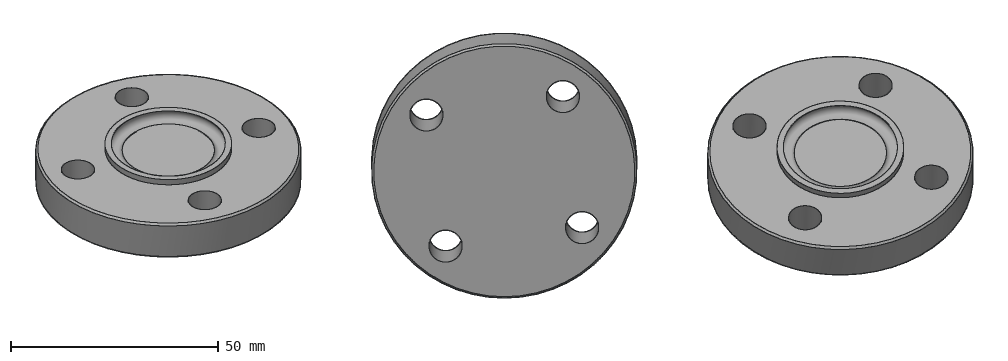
import cadquery as cq
import math

flange_diameter = 64.0
flange_height = 10.0
edge_chamfer = 0.5

total_height = 11.5
boss_diameter = 30.6
rim_diameter = 27.5
floor_diameter = 22.3
recess_depth = 2.0
groove_radius = 1.7

hole_diameter = 8.0
bolt_circle_diameter = 47.05
hole_count = 4


def make_flange():
    disc = cq.Workplane("XY").circle(flange_diameter / 2).extrude(flange_height)
    return disc.edges().chamfer(edge_chamfer)


def make_boss():
    return cq.Workplane("XY").circle(boss_diameter / 2).extrude(total_height)


def make_recess():
    """Round recess ringed by an arc groove that undercuts the rim."""
    floor_radius = floor_diameter / 2
    rim_radius = rim_diameter / 2
    floor_z = total_height - recess_depth

    width = rim_radius - floor_radius
    chord = math.hypot(width, recess_depth)
    offset = math.sqrt(groove_radius**2 - (chord / 2) ** 2)
    centre_r = (floor_radius + rim_radius) / 2 + offset * recess_depth / chord
    centre_z = (floor_z + total_height) / 2 - offset * width / chord

    return (
        cq.Workplane("XZ")
        .moveTo(0, floor_z)
        .lineTo(floor_radius, floor_z)
        .threePointArc((centre_r, centre_z - groove_radius), (rim_radius, total_height))
        .lineTo(0, total_height)
        .close()
        .revolve(360, (0, 0, 0), (0, 1, 0))
    )


def make_bolt_holes():
    return (
        cq.Workplane("XY")
        .polarArray(bolt_circle_diameter / 2, 0, 360, hole_count)
        .circle(hole_diameter / 2)
        .extrude(total_height)
    )


result = make_flange().union(make_boss()).cut(make_recess()).cut(make_bolt_holes())